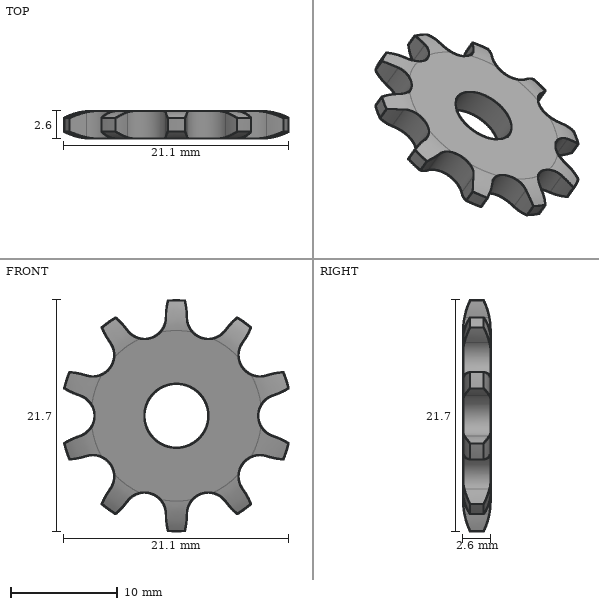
import cadquery as cq
import math

tooth_count = 10
tip_radius = 10.85
thickness = 2.6
bore_diameter = 6.0
pitch = 6.0
seat_radius = 2.0
tip_half_width = 0.8
face_radius = 8.0
tip_thickness = 1.28

tooth_angle = 360.0 / tooth_count
half_angle = math.radians(tooth_angle / 2)
pitch_radius = pitch / 2 / math.sin(half_angle)
root_radius = pitch_radius - seat_radius


def turned(point, tooth_index):
    """Rotate a point of the upright tooth to the given tooth position."""
    angle = math.radians(-tooth_angle * tooth_index)
    x, z = point
    return (
        x * math.cos(angle) - z * math.sin(angle),
        x * math.sin(angle) + z * math.cos(angle),
    )


def tooth_blank():
    """Toothed plate with round seats, convex flanks and a cylindrical tip."""
    seat_edge = (pitch / 2 - seat_radius, pitch_radius * math.cos(half_angle))
    tip_corner = (tip_half_width, math.sqrt(tip_radius**2 - tip_half_width**2))
    seat_root = (root_radius * math.sin(half_angle), root_radius * math.cos(half_angle))

    flank_dx = seat_edge[0] - tip_corner[0]
    flank_dz = tip_corner[1] - seat_edge[1]
    flank_radius = (flank_dx**2 + flank_dz**2) / (2 * flank_dx)
    flank_half_angle = math.asin(flank_dz / flank_radius) / 2
    flank_middle = (
        seat_edge[0] - flank_radius * (1 - math.cos(flank_half_angle)),
        seat_edge[1] + flank_radius * math.sin(flank_half_angle),
    )

    def mirrored(point):
        return (-point[0], point[1])

    outline = cq.Workplane("XZ").moveTo(*mirrored(seat_edge))
    for i in range(tooth_count):
        outline = (
            outline
            .threePointArc(turned(mirrored(flank_middle), i), turned(mirrored(tip_corner), i))
            .threePointArc(turned((0, tip_radius), i), turned(tip_corner, i))
            .threePointArc(turned(flank_middle, i), turned(seat_edge, i))
            .threePointArc(turned(seat_root, i), turned(mirrored(seat_edge), i + 1))
        )
    return outline.close().extrude(thickness / 2, both=True)


def side_envelope():
    """Revolved disc whose rounded rim thins the teeth towards their tips."""
    half_thickness = thickness / 2
    half_tip = tip_thickness / 2
    run = tip_radius - face_radius
    drop = half_thickness - half_tip
    rim_radius = (run**2 + drop**2) / (2 * drop)
    rim_half_angle = math.asin(run / rim_radius) / 2
    middle_x = face_radius + rim_radius * math.sin(rim_half_angle)
    middle_y = half_thickness - rim_radius * (1 - math.cos(rim_half_angle))
    return (
        cq.Workplane("XY")
        .moveTo(0, -half_thickness)
        .lineTo(face_radius, -half_thickness)
        .threePointArc((middle_x, -middle_y), (tip_radius, -half_tip))
        .lineTo(tip_radius, half_tip)
        .threePointArc((middle_x, middle_y), (face_radius, half_thickness))
        .lineTo(0, half_thickness)
        .close()
        .revolve(360, (0, 0, 0), (0, 1, 0))
    )


bore = cq.Workplane("XZ").circle(bore_diameter / 2).extrude(thickness, both=True)
result = tooth_blank().intersect(side_envelope()).cut(bore)